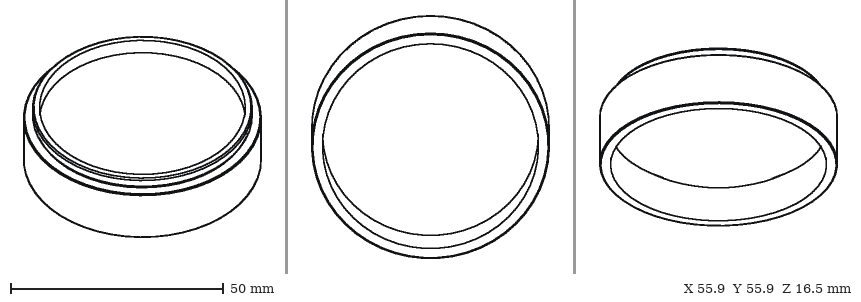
import cadquery as cq
import math

body_diameter = 55.88
total_height = 16.51
collar_diameter = 51.69
collar_height = 2.3
relief_diameter = 50.8
relief_height = 0.8
shoulder_z = total_height - collar_height - relief_height
collar_bottom_z = total_height - collar_height

body_chamfer = 0.254
collar_chamfer_height = 0.5
collar_chamfer_width = 0.3

opening_diameter = 48.4
opening_depth = 3.81
lens_seat_z = total_height - opening_depth

lens_diameter = 50.8
lens_surface_radius = 38.6
lens_edge_thickness = 3.0
lens_radius = lens_diameter / 2
lens_sag = lens_surface_radius - math.sqrt(lens_surface_radius**2 - lens_radius**2)
lens_edge_z = lens_seat_z - lens_edge_thickness
lens_apex_z = lens_edge_z - lens_sag


def make_housing():
    """Revolve the tube section, with the lens pocket open at the bottom."""
    body_radius = body_diameter / 2
    collar_radius = collar_diameter / 2
    relief_radius = relief_diameter / 2
    opening_radius = opening_diameter / 2
    return (
        cq.Workplane("XZ")
        .moveTo(lens_radius, 0)
        .lineTo(body_radius - body_chamfer, 0)
        .lineTo(body_radius, body_chamfer)
        .lineTo(body_radius, shoulder_z - body_chamfer)
        .lineTo(body_radius - body_chamfer, shoulder_z)
        .lineTo(relief_radius, shoulder_z)
        .lineTo(relief_radius, collar_bottom_z)
        .lineTo(collar_radius, collar_bottom_z)
        .lineTo(collar_radius, total_height - collar_chamfer_height)
        .lineTo(collar_radius - collar_chamfer_width, total_height)
        .lineTo(opening_radius, total_height)
        .lineTo(opening_radius, lens_seat_z)
        .lineTo(lens_radius, lens_seat_z)
        .close()
        .revolve(360, (0, 0, 0), (0, 1, 0))
    )


def make_lens():
    """Revolve half of the lens section: flat top, straight edge, convex bottom."""
    half_angle = math.asin(lens_radius / lens_surface_radius) / 2
    arc_middle_radius = lens_surface_radius * math.sin(half_angle)
    arc_middle_z = lens_apex_z + lens_surface_radius * (1 - math.cos(half_angle))
    return (
        cq.Workplane("XZ")
        .moveTo(0, lens_seat_z)
        .lineTo(lens_radius, lens_seat_z)
        .lineTo(lens_radius, lens_edge_z)
        .threePointArc((arc_middle_radius, arc_middle_z), (0, lens_apex_z))
        .close()
        .revolve(360, (0, 0, 0), (0, 1, 0))
    )


housing = make_housing()
lens = make_lens()

result = cq.Compound.makeCompound([housing.val(), lens.val()])